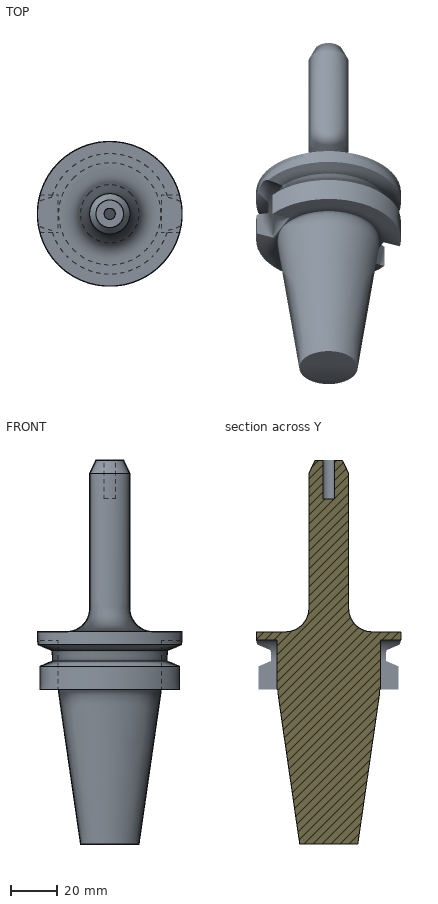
import cadquery as cq

total_height = 167.0
taper_height = 65.8
collar_bottom = 67.3
collar_top = 77.3
groove_bottom = 79.7
groove_top = 84.3
rim_bottom = 86.8
flange_top = 92.5

taper_small_radius = 12.7
taper_large_radius = 22.2
flange_radius = 63.0 / 2
groove_radius = 26.2
shank_radius = 17.5 / 2
tip_radius = 6.0
root_fillet_radius = 10.0

tip_chamfer_height = 5.8
hole_diameter = 4.8
hole_depth = 16.7

slot_width = 16.4
slot_floor = 22.5
slot_top = 88.7


def make_body():
    """Revolve the taper, grooved flange and shank about the Z axis."""
    fillet_top = flange_top + root_fillet_radius
    profile = (
        cq.Workplane("XZ")
        .lineTo(taper_small_radius, 0)
        .lineTo(taper_large_radius, taper_height)
        .lineTo(taper_large_radius, collar_bottom)
        .lineTo(flange_radius, collar_bottom)
        .lineTo(flange_radius, collar_top)
        .lineTo(groove_radius, groove_bottom)
        .lineTo(groove_radius, groove_top)
        .lineTo(flange_radius, rim_bottom)
        .lineTo(flange_radius, flange_top)
        .lineTo(shank_radius + root_fillet_radius, flange_top)
        .radiusArc((shank_radius, fillet_top), root_fillet_radius)
        .lineTo(shank_radius, total_height - tip_chamfer_height)
        .lineTo(tip_radius, total_height)
        .lineTo(0, total_height)
        .close()
    )
    return profile.revolve(360, (0, 0, 0), (0, 1, 0))


def make_drive_slot(side):
    """Round-topped slot cutter, open at the collar bottom; side is -1 or +1 along X."""
    half_width = slot_width / 2
    arc_start = slot_top - half_width
    return (
        cq.Workplane("YZ", origin=(side * slot_floor, 0, 0))
        .moveTo(-half_width, collar_bottom)
        .lineTo(half_width, collar_bottom)
        .lineTo(half_width, arc_start)
        .threePointArc((0, slot_top), (-half_width, arc_start))
        .close()
        .extrude(side * flange_radius)
    )


result = make_body()
for side in (-1, 1):
    result = result.cut(make_drive_slot(side))
result = result.faces(">Z").workplane().hole(hole_diameter, hole_depth)